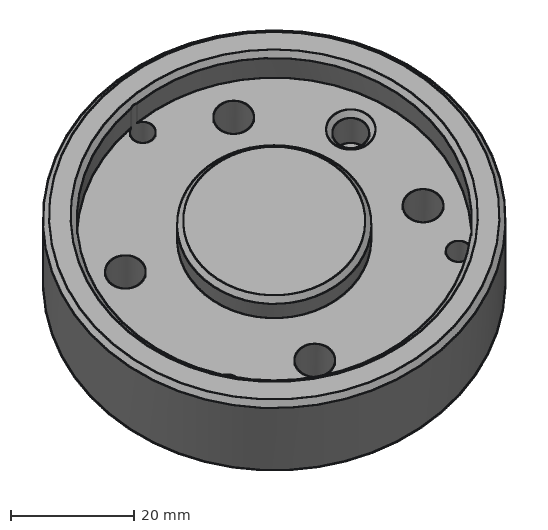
import cadquery as cq
import math

body_diameter = 75.0
body_height = 18.5
edge_chamfer = 1.0

recess_diameter = 64.0
recess_depth = 6.5
boss_diameter = 31.5
boss_drop = 1.5
floor_z = body_height - recess_depth
boss_height = recess_depth - boss_drop

mount_hole_diameter = 6.6
mount_circle_radius = 25.0
mount_angles = [45, 135, 225, 315]

small_hole_diameter = 4.2
small_circle_radius = 30.0
small_angles = [25, 165, 285]

blind_hole_diameter = 6.0
blind_hole_depth = 8.0
blind_hole_y = 25.0


def chamfered_disc(diameter, height, base_z):
    """Disc with its top edge chamfered."""
    disc = cq.Workplane("XY").workplane(offset=base_z).circle(diameter / 2).extrude(height)
    return disc.faces(">Z").chamfer(edge_chamfer)


def chamfered_bore(diameter, depth, top_z, y=0.0):
    """Cutter for a flat-bottomed bore whose mouth is chamfered."""
    radius = diameter / 2
    profile = [
        (0, -depth),
        (radius, -depth),
        (radius, -edge_chamfer),
        (radius + edge_chamfer, 0),
        (0, 0),
    ]
    cutter = cq.Workplane("XZ").polyline(profile).close().revolve(360, (0, 0), (0, 1))
    return cutter.translate((0, y, top_z))


def through_holes(diameter, circle_radius, angles):
    """Cutter for vertical through holes at the given angles on a circle."""
    centres = []
    for angle in angles:
        theta = math.radians(angle)
        centres.append((circle_radius * math.cos(theta), circle_radius * math.sin(theta)))
    return cq.Workplane("XY").pushPoints(centres).circle(diameter / 2).extrude(body_height)


body = chamfered_disc(body_diameter, body_height, 0)
body = body.cut(chamfered_bore(recess_diameter, recess_depth, body_height))
body = body.union(chamfered_disc(boss_diameter, boss_height, floor_z))
body = body.cut(through_holes(mount_hole_diameter, mount_circle_radius, mount_angles))
body = body.cut(through_holes(small_hole_diameter, small_circle_radius, small_angles))
result = body.cut(chamfered_bore(blind_hole_diameter, blind_hole_depth, floor_z, blind_hole_y))